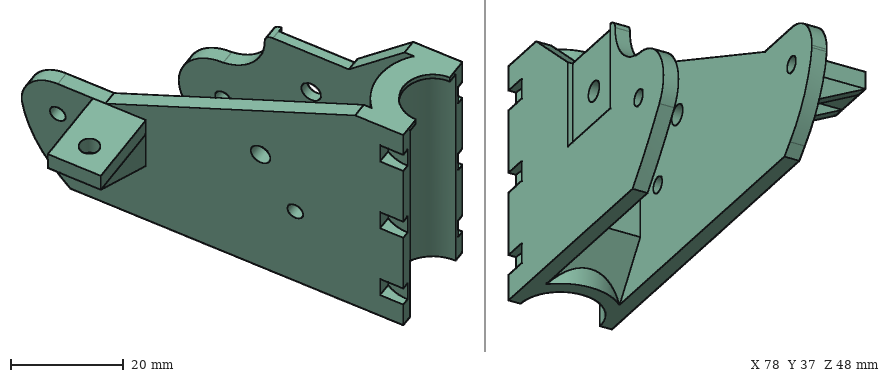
import cadquery as cq
import math

LENGTH = 78.0
HEIGHT = 48.0
WIDTH = 21.0
PLATE = 3.05
MID_Y = WIDTH / 2
BACK_PLATE_Y = WIDTH - PLATE

NOSE_TOP_Z = 25.1
NOSE_RADIUS = 7.3
NOSE_FLAT_Z = 17.3
NOSE_BELLY_X = 2.6
NOSE_BELLY_Z = 9.35
NOSE_CHAMFER_X = 7.95
NOSE_CHAMFER_Z = 2.0
FRONT_BOTTOM_X = 10.0
FRONT_SLOPE_X = 17.15
FRONT_CREST_X = 68.2

PIVOT_DIA = 3.2
PIVOT_Z = 17.55
FRONT_PIVOT_XS = (7.4, 55.9)
BACK_PIVOT_X = 30.8
CROSS_HOLE_DIA = 4.0
CROSS_HOLE_X = 48.8
CROSS_HOLE_Z = 28.3

LOBE_RADIUS = 9.05
LOBE_END_Z = 12.55
BACK_BOTTOM_X = 33.0
SHOULDER_X = 39.3
SHOULDER_Z = 37.9
SHOULDER_RADIUS = 1.6
NECK_RADIUS = 10.0
BACK_SLOPE_X = 56.55
BACK_CREST_X = 67.9
RECESS_START_X = 2 * CROSS_HOLE_X - BACK_SLOPE_X
RECESS_BOTTOM_Z = CROSS_HOLE_Z - (BACK_SLOPE_X - CROSS_HOLE_X)
RECESS_DEPTH = 1.0

SADDLE_OUTER_RADIUS = 11.1
LIP_RADIUS = 6.0
LIP_THICKNESS = 1.0
BORE_RADIUS = 8.0
BLOCK_X = 62.25
BLOCK_TOP_Z = 19.9
BLOCK_SLOPE_Z = 10.1
BLOCK_SLOPE_END_X = 69.7

SLOT_X = 73.25
SLOT_HEIGHT = 4.05
SLOT_PITCH = 16.85
SLOT_MID_Z = 24.1
SLOT_COUNT = 3
SLOT_CORE_RADIUS = 9.0

SHELF_X = 14.6
SHELF_WIDTH = 10.85
SHELF_REACH = 16.0
SHELF_THICKNESS = 3.5
SHELF_HOLE_DIA = 3.8
SHELF_HOLE_EDGE = 5.4
RIB_THICKNESS = 2.4
RIB_BOTTOM_Z = 13.6
SHELF_BOTTOM_Z = NOSE_TOP_Z - SHELF_THICKNESS


def plane_at_y(y):
    """Plane whose sketch axes are X and Z, extruding toward +Y for a negative distance."""
    return cq.Workplane("XZ", origin=(0, y, 0))


def hole_along_y(x, z, diameter, y_start, depth):
    return plane_at_y(y_start).center(x, z).circle(diameter / 2).extrude(-depth)


def arc_middle(center, radius, start, end):
    """Point on a circle halfway along the short arc between two of its points."""
    dx = (start[0] + end[0]) / 2 - center[0]
    dz = (start[1] + end[1]) / 2 - center[1]
    reach = radius / math.hypot(dx, dz)
    return (center[0] + dx * reach, center[1] + dz * reach)


def make_front_plate():
    nose_top = (NOSE_RADIUS, NOSE_TOP_Z)
    nose_side = (0, NOSE_TOP_Z - NOSE_RADIUS)
    nose_mid = arc_middle((NOSE_RADIUS, NOSE_TOP_Z - NOSE_RADIUS), NOSE_RADIUS, nose_top, nose_side)
    return (
        plane_at_y(0)
        .moveTo(FRONT_BOTTOM_X, 0)
        .lineTo(LENGTH, 0)
        .lineTo(LENGTH, HEIGHT)
        .lineTo(FRONT_CREST_X, HEIGHT)
        .lineTo(FRONT_SLOPE_X, NOSE_TOP_Z)
        .lineTo(*nose_top)
        .threePointArc(nose_mid, nose_side)
        .lineTo(0, NOSE_FLAT_Z)
        .threePointArc((NOSE_BELLY_X, NOSE_BELLY_Z), (NOSE_CHAMFER_X, NOSE_CHAMFER_Z))
        .close()
        .extrude(-PLATE)
    )


def make_back_plate():
    lobe_center = (BACK_PIVOT_X, PIVOT_Z)
    lobe_top = (BACK_PIVOT_X, PIVOT_Z + LOBE_RADIUS)
    lobe_end_x = BACK_PIVOT_X - math.sqrt(LOBE_RADIUS**2 - (PIVOT_Z - LOBE_END_Z) ** 2)
    lobe_end = (lobe_end_x, LOBE_END_Z)
    shoulder_side = (SHOULDER_X, SHOULDER_Z - SHOULDER_RADIUS)
    shoulder_top = (SHOULDER_X + SHOULDER_RADIUS, SHOULDER_Z)
    neck_center = (SHOULDER_X - NECK_RADIUS, shoulder_side[1])
    shoulder_center = (shoulder_top[0], shoulder_side[1])
    plate = (
        plane_at_y(BACK_PLATE_Y)
        .moveTo(LENGTH, 0)
        .lineTo(LENGTH, HEIGHT)
        .lineTo(BACK_CREST_X, HEIGHT)
        .lineTo(BACK_SLOPE_X, SHOULDER_Z)
        .lineTo(*shoulder_top)
        .threePointArc(
            arc_middle(shoulder_center, SHOULDER_RADIUS, shoulder_top, shoulder_side), shoulder_side
        )
        .threePointArc(arc_middle(neck_center, NECK_RADIUS, shoulder_side, lobe_top), lobe_top)
        .threePointArc(arc_middle(lobe_center, LOBE_RADIUS, lobe_top, lobe_end), lobe_end)
        .tangentArcPoint((BACK_BOTTOM_X, 0), relative=False)
        .close()
        .extrude(-PLATE)
    )
    recess = cq.Workplane("XY").box(
        BACK_SLOPE_X - RECESS_START_X, RECESS_DEPTH, SHOULDER_Z - RECESS_BOTTOM_Z, centered=False
    )
    return plate.cut(recess.translate((RECESS_START_X, WIDTH - RECESS_DEPTH, RECESS_BOTTOM_Z)))


def upright_cylinder(radius, height=HEIGHT):
    return cq.Workplane("XY").center(LENGTH, MID_Y).circle(radius).extrude(height)


def make_saddle():
    """Half-round column between the plates with a sloped block at its foot."""
    gap = BACK_PLATE_Y - PLATE
    block = (
        plane_at_y(PLATE)
        .moveTo(BLOCK_X, BLOCK_SLOPE_Z)
        .lineTo(BLOCK_X, BLOCK_TOP_Z)
        .lineTo(LENGTH, BLOCK_TOP_Z)
        .lineTo(LENGTH, 0)
        .lineTo(BLOCK_SLOPE_END_X, 0)
        .close()
        .extrude(-gap)
    )
    room = cq.Workplane("XY").box(LENGTH, gap, HEIGHT, centered=False).translate((0, PLATE, 0))
    return upright_cylinder(SADDLE_OUTER_RADIUS).intersect(room).union(block)


def make_strap_slots():
    """Side slots whose floors follow a cylinder around the saddle axis."""
    slots = cq.Workplane("XY")
    for index in range(SLOT_COUNT):
        middle_z = SLOT_MID_Z + (index - (SLOT_COUNT - 1) / 2) * SLOT_PITCH
        slots = slots.union(
            cq.Workplane("XY")
            .box(LENGTH - SLOT_X, WIDTH, SLOT_HEIGHT, centered=(False, False, True))
            .translate((SLOT_X, 0, middle_z))
        )
    return slots.cut(upright_cylinder(SLOT_CORE_RADIUS))


def make_housing():
    housing = make_front_plate().union(make_back_plate()).union(make_saddle())
    housing = housing.cut(upright_cylinder(BORE_RADIUS, HEIGHT - LIP_THICKNESS))
    housing = housing.cut(upright_cylinder(LIP_RADIUS))
    housing = housing.cut(make_strap_slots())
    for x in FRONT_PIVOT_XS:
        housing = housing.cut(hole_along_y(x, PIVOT_Z, PIVOT_DIA, 0, PLATE))
    housing = housing.cut(hole_along_y(BACK_PIVOT_X, PIVOT_Z, PIVOT_DIA, BACK_PLATE_Y, PLATE))
    return housing.cut(hole_along_y(CROSS_HOLE_X, CROSS_HOLE_Z, CROSS_HOLE_DIA, 0, WIDTH))


def make_shelf():
    hole = (
        cq.Workplane("XY", origin=(0, 0, SHELF_BOTTOM_Z))
        .center(SHELF_X + SHELF_WIDTH / 2, SHELF_HOLE_EDGE - SHELF_REACH)
        .circle(SHELF_HOLE_DIA / 2)
        .extrude(SHELF_THICKNESS)
    )
    shelf = cq.Workplane("XY").box(SHELF_WIDTH, SHELF_REACH, SHELF_THICKNESS, centered=False)
    return shelf.translate((SHELF_X, -SHELF_REACH, SHELF_BOTTOM_Z)).cut(hole)


def make_rib(x):
    """Triangular rib under the shelf, starting at the given X."""
    return (
        cq.Workplane("YZ", origin=(x, 0, 0))
        .moveTo(0, RIB_BOTTOM_Z)
        .lineTo(0, SHELF_BOTTOM_Z)
        .lineTo(-SHELF_REACH, SHELF_BOTTOM_Z)
        .close()
        .extrude(RIB_THICKNESS)
    )


housing = make_housing()
shelf = make_shelf()
ribs = [make_rib(x).val() for x in (SHELF_X, SHELF_X + SHELF_WIDTH - RIB_THICKNESS)]

result = cq.Compound.makeCompound([housing.val(), shelf.val(), *ribs])